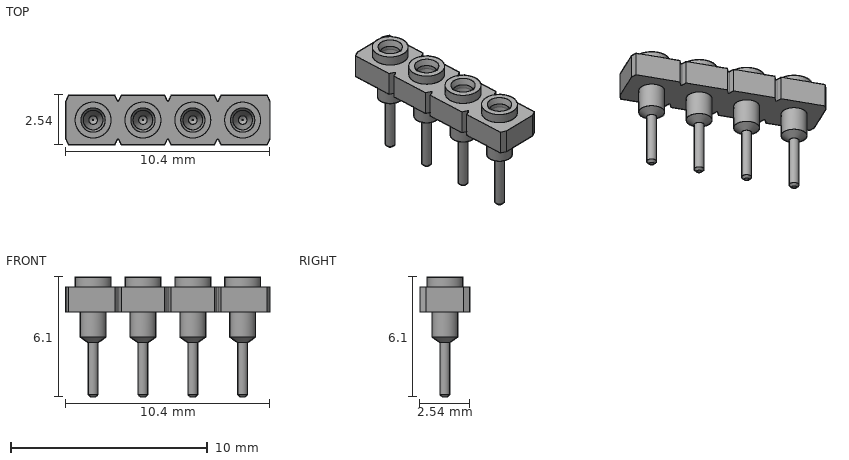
import cadquery as cq

pin_count = 4
pin_pitch = 2.54
pin_span = (pin_count - 1) * pin_pitch

strip_length = 10.39
strip_width = 2.54
strip_height = 1.28
notch_half_width = 0.17
notch_vee_depth = 0.34
notch_tip_radius = 0.03
corner_bevel_x = 0.15
corner_bevel_y = 0.31

total_height = 6.1
head_diameter = 1.83
head_height = 0.5
barrel_diameter = 1.32
barrel_drop = 1.28
taper_height = 0.28
tail_diameter = 0.51
tip_bevel = 0.12

mouth_diameter = 1.24
bore_diameter = 1.0
mouth_depth = 0.31
bore_depth = head_height
funnel_end_diameter = 0.44
funnel_depth = 1.27
point_depth = 0.12
point_end_diameter = 0.06

head_top = strip_height + head_height
tail_bottom = head_top - total_height

pin_positions = [i * pin_pitch - pin_span / 2 for i in range(pin_count)]


def make_blank():
    """Bar with its four vertical end corners bevelled."""
    half_length = strip_length / 2
    half_width = strip_width / 2
    bevel_start_x = half_length - corner_bevel_x
    bevel_end_y = half_width - corner_bevel_y
    return (
        cq.Workplane("XY")
        .moveTo(half_length, bevel_end_y)
        .lineTo(bevel_start_x, half_width)
        .lineTo(-bevel_start_x, half_width)
        .lineTo(-half_length, bevel_end_y)
        .lineTo(-half_length, -bevel_end_y)
        .lineTo(-bevel_start_x, -half_width)
        .lineTo(bevel_start_x, -half_width)
        .lineTo(half_length, -bevel_end_y)
        .close()
        .extrude(strip_height)
    )


def make_notch(x, side):
    """Cutter for a V notch with a rounded tip at X = x; side is -1 or 1 for the -Y or +Y face."""
    face_y = side * strip_width / 2
    apex_y = face_y - side * notch_vee_depth
    return (
        cq.Workplane("XY")
        .moveTo(x - notch_half_width, face_y)
        .lineTo(x + notch_half_width, face_y)
        .lineTo(x, apex_y)
        .close()
        .extrude(strip_height)
        .edges(cq.selectors.NearestToPointSelector((x, apex_y, strip_height / 2)))
        .fillet(notch_tip_radius)
    )


def make_strip():
    """Bar with break notches along both sides and a through hole for each pin."""
    strip = make_blank()
    for x in pin_positions[:-1]:
        for side in (-1, 1):
            strip = strip.cut(make_notch(x + pin_pitch / 2, side))

    pin_holes = (
        cq.Workplane("XY")
        .pushPoints([(x, 0) for x in pin_positions])
        .circle(barrel_diameter / 2)
        .extrude(strip_height)
    )
    return strip.cut(pin_holes)


def make_pin(x):
    """Socket pin at X = x, revolved from its half section (radius, height)."""
    head_radius = head_diameter / 2
    barrel_radius = barrel_diameter / 2
    tail_radius = tail_diameter / 2
    mouth_radius = mouth_diameter / 2
    bore_radius = bore_diameter / 2
    funnel_end_radius = funnel_end_diameter / 2

    barrel_bottom = -barrel_drop
    taper_bottom = barrel_bottom - taper_height
    mouth_bottom = head_top - mouth_depth
    bore_bottom = head_top - bore_depth
    funnel_bottom = bore_bottom - funnel_depth
    point_bottom = funnel_bottom - point_depth

    half_section = (
        cq.Workplane("XZ")
        .moveTo(0, tail_bottom)
        .lineTo(tail_radius - tip_bevel, tail_bottom)
        .lineTo(tail_radius, tail_bottom + tip_bevel)
        .lineTo(tail_radius, taper_bottom)
        .lineTo(barrel_radius, barrel_bottom)
        .lineTo(barrel_radius, strip_height)
        .lineTo(head_radius, strip_height)
        .lineTo(head_radius, head_top)
        .lineTo(mouth_radius, head_top)
        .lineTo(bore_radius, mouth_bottom)
        .lineTo(bore_radius, bore_bottom)
        .lineTo(funnel_end_radius, funnel_bottom)
        .lineTo(point_end_diameter / 2, point_bottom)
        .lineTo(0, point_bottom)
        .close()
    )
    return half_section.revolve(360, (0, 0, 0), (0, 1, 0)).translate((x, 0, 0))


strip = make_strip()
pins = [make_pin(x) for x in pin_positions]

result = cq.Compound.makeCompound([strip.val(), *[pin.val() for pin in pins]])